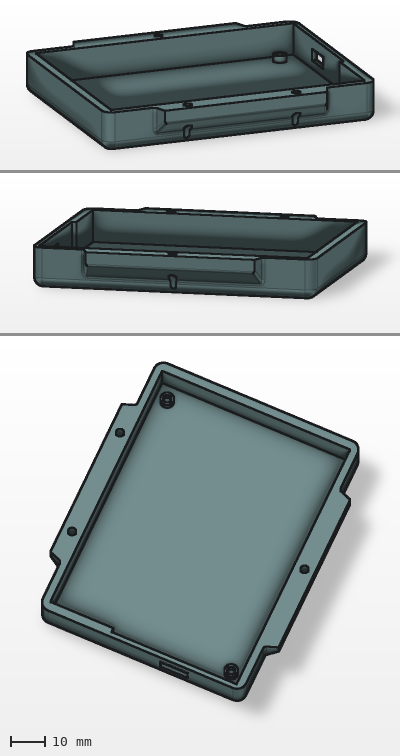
import cadquery as cq
import math

body_width = 65.0
body_length = 85.0
body_height = 12.0
corner_radius = 3.0

side_wall = 2.5
end_wall = 2.8
thin_end_wall = 1.5
floor_thickness = 2.5
thin_wall_run = 39.95

flange_reach = 4.0
flange_edge_height = 4.0
flange_length = 50.8
flange_end_angle = 20.0
flange_fillet = 1.0
flange_overlap = 0.85

hole_diameter = 2.4
hole_offset = 33.3
paired_hole_spread = 34.0

standoff_diameter = 4.0
standoff_bore = 2.4
standoff_height = 2.0
standoff_places = [(-25.7, 35.0), (26.35, -35.0)]

window_width = 8.8
window_height = 3.6
window_center_x = -10.7
window_center_z = -5.3

half_width = body_width / 2
half_length = body_length / 2
cavity_width = body_width - 2 * side_wall
cavity_length = body_length - 2 * end_wall
cavity_depth = body_height - floor_thickness
floor_z = -cavity_depth


def make_body():
    block = cq.Workplane("XY").box(body_width, body_length, body_height, centered=(True, True, False))
    block = block.translate((0, 0, -body_height))
    return block.edges("|Z").fillet(corner_radius).faces("<Z").edges().fillet(corner_radius)


def make_flange():
    """Flange for the +X side: sloped underside, angled ends, root sunk into the wall."""
    inner_x = half_width - flange_overlap
    outer_x = half_width + flange_reach
    depth = flange_reach + flange_overlap
    outer_y = flange_length / 2
    inner_y = outer_y + depth * math.tan(math.radians(flange_end_angle))
    root_z = -(flange_edge_height + depth)

    plan = (
        cq.Workplane("XY")
        .polyline([(inner_x, -inner_y), (outer_x, -outer_y), (outer_x, outer_y), (inner_x, inner_y)])
        .close()
        .extrude(root_z)
    )
    profile = (
        cq.Workplane("XZ")
        .polyline([(inner_x, 0), (outer_x, 0), (outer_x, -flange_edge_height), (inner_x, root_z)])
        .close()
        .extrude(inner_y, both=True)
    )
    underside = plan.intersect(profile).faces(">(1, 0, -1)")
    return underside.edges("not(<X)").fillet(flange_fillet)


def add_flanges(body):
    flange = make_flange()
    tray = body.union(flange).union(flange.mirror("YZ"))
    root_reach = flange_length / 2 + flange_reach
    root_bottom = -(flange_edge_height + flange_reach)
    margin = 0.1
    for wall_x in (-half_width, half_width):
        root_edges = cq.selectors.BoxSelector(
            (wall_x - margin, -root_reach, root_bottom - margin),
            (wall_x + margin, root_reach, -margin),
        )
        tray = tray.edges(root_edges).fillet(flange_fillet)
    return tray


def cut_cavity(tray):
    main = cq.Workplane("XY").rect(cavity_width, cavity_length).extrude(-cavity_depth)
    recess = (
        cq.Workplane("XY")
        .box(thin_wall_run, half_length - thin_end_wall, cavity_depth, centered=False)
        .translate((-cavity_width / 2, 0, floor_z))
    )
    return tray.cut(main).cut(recess)


def cut_flange_holes(tray):
    places = [
        (-hole_offset, 0),
        (hole_offset, paired_hole_spread / 2),
        (hole_offset, -paired_hole_spread / 2),
    ]
    holes = cq.Workplane("XY").pushPoints(places).circle(hole_diameter / 2).extrude(-body_height)
    return tray.cut(holes)


def add_standoffs(tray):
    standoffs = (
        cq.Workplane("XY", origin=(0, 0, floor_z))
        .pushPoints(standoff_places)
        .circle(standoff_diameter / 2)
        .circle(standoff_bore / 2)
        .extrude(standoff_height)
    )
    return tray.union(standoffs)


def cut_window(tray):
    window_center = (window_center_x, half_length, window_center_z)
    window = cq.Workplane("XY").box(window_width, 2 * end_wall, window_height).translate(window_center)
    return tray.cut(window)


result = add_flanges(make_body())
result = cut_cavity(result)
result = cut_flange_holes(result)
result = add_standoffs(result)
result = cut_window(result)